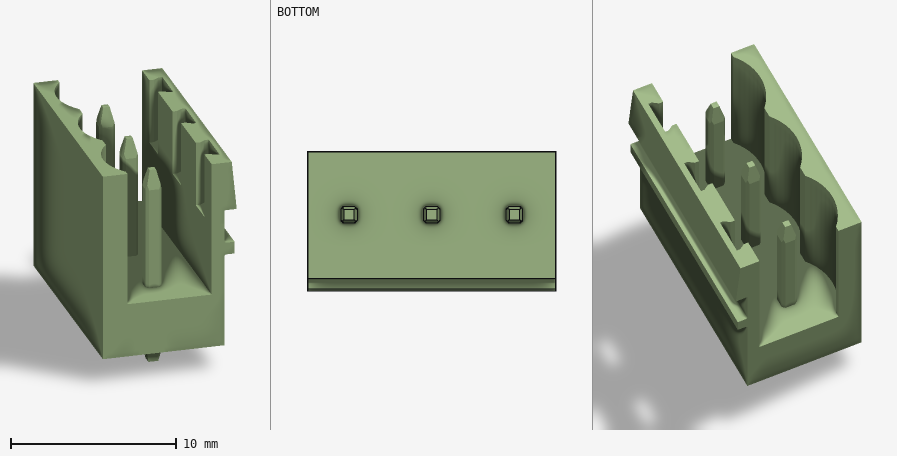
import cadquery as cq

poles = 3
pitch = 5.0
length = poles * pitch
pole_positions = [(i - (poles - 1) / 2) * pitch for i in range(poles)]

height = 12.0
depth = 7.66
floor_height = 3.43
front_wall = 1.55
rear_wall_inner = 6.85

hook_tip = 8.43
hook_top = 8.12
hook_bottom = 8.87

rib_outer = 8.30
rib_bottom = 5.96
rib_top = 6.73
rib_root_radius = 0.12

scallop_width = 4.3
scallop_wall = 0.75

slot_floor = 7.9
slot_back = 7.73
slot_mouth_width = 1.85
slot_back_width = 2.35
slot_neck_end = 7.14
slot_flare_end = 7.5

pin_y = 3.82
pin_width = 1.0
pin_blank_diameter = 1.19
pin_top = 11.06
pin_bottom = -1.5
upper_taper = 1.2
lower_taper = 0.92
upper_tip_width = 0.40
lower_tip_width = 0.62


def make_trough():
    """U-shaped section with hook and rib, extruded along X."""
    outline = [
        (0, 0),
        (depth, 0),
        (depth, rib_bottom),
        (rib_outer, rib_bottom),
        (rib_outer, rib_top),
        (depth, rib_top),
        (depth, hook_bottom),
        (hook_tip, hook_bottom),
        (hook_top, height),
        (rear_wall_inner, height),
        (rear_wall_inner, floor_height),
        (front_wall, floor_height),
        (front_wall, height),
        (0, height),
    ]
    trough = cq.Workplane("YZ").polyline(outline).close().extrude(length / 2, both=True)
    for root_z in (rib_bottom, rib_top):
        root_edge = cq.selectors.NearestToPointSelector((0, depth, root_z))
        trough = trough.edges("|X").edges(root_edge).fillet(rib_root_radius)
    return trough


def make_scallop(x):
    """Circular-segment cutter that runs from the trough floor to the top."""
    half_width = scallop_width / 2
    return (
        cq.Workplane("XY", origin=(x, 0, floor_height))
        .moveTo(-half_width, front_wall)
        .threePointArc((0, scallop_wall), (half_width, front_wall))
        .close()
        .extrude(height - floor_height)
    )


def make_slot(x):
    """Dovetail cutter; it breaks through the rear wall below the hook."""
    mouth = slot_mouth_width / 2
    back = slot_back_width / 2
    outline = [
        (-mouth, rear_wall_inner),
        (-mouth, slot_neck_end),
        (-back, slot_flare_end),
        (-back, slot_back),
        (back, slot_back),
        (back, slot_flare_end),
        (mouth, slot_neck_end),
        (mouth, rear_wall_inner),
    ]
    return (
        cq.Workplane("XY", origin=(x, 0, slot_floor))
        .polyline(outline)
        .close()
        .extrude(height - slot_floor)
    )


def make_taper(start_z, tip_z, tip_width):
    """Square frustum from the full pin width to the tip."""
    return (
        cq.Workplane("XY", origin=(0, 0, start_z))
        .rect(pin_width, pin_width)
        .workplane(offset=tip_z - start_z)
        .rect(tip_width, tip_width)
        .loft()
    )


def make_pin(x):
    """Square pin, corners trimmed by a round blank, with a pyramidal taper at each end."""
    upper_shoulder = pin_top - upper_taper
    lower_shoulder = pin_bottom + lower_taper
    shank = (
        cq.Workplane("XY", origin=(0, 0, lower_shoulder))
        .rect(pin_width, pin_width)
        .extrude(upper_shoulder - lower_shoulder)
    )
    envelope = (
        shank.union(make_taper(upper_shoulder, pin_top, upper_tip_width))
        .union(make_taper(lower_shoulder, pin_bottom, lower_tip_width))
    )
    round_blank = (
        cq.Workplane("XY", origin=(0, 0, pin_bottom))
        .circle(pin_blank_diameter / 2)
        .extrude(pin_top - pin_bottom)
    )
    return round_blank.intersect(envelope).translate((x, pin_y, 0))


pins = [make_pin(x) for x in pole_positions]

housing = make_trough()
for x, pin in zip(pole_positions, pins):
    housing = housing.cut(make_scallop(x))
    housing = housing.cut(make_slot(x))
    housing = housing.cut(pin)

result = cq.Compound.makeCompound([housing.val()] + [pin.val() for pin in pins])